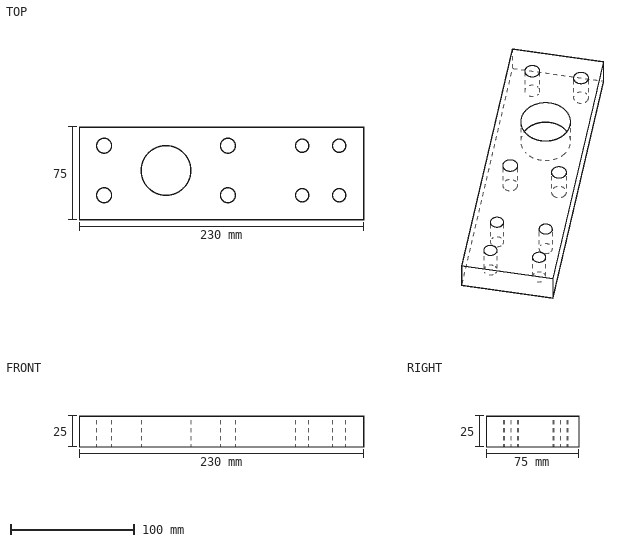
import cadquery as cq

length = 230.0
width = 75.0
thickness = 25.0

edge_distance = 20.0
row_spacing = 40.0
row_positions = (edge_distance, edge_distance + row_spacing)

large_hole_diameter = 12.0
large_hole_spacing = 100.0
large_hole_columns = (edge_distance, edge_distance + large_hole_spacing)

small_hole_diameter = 10.5
small_hole_spacing = 30.0
last_column = length - edge_distance
small_hole_columns = (last_column - small_hole_spacing, last_column)

bore_diameter = 40.0
bore_x = edge_distance + large_hole_spacing / 2
bore_y = edge_distance + row_spacing / 2


def through_cylinders(diameter, centers):
    """Cylinders spanning the plate thickness at the given XY centers."""
    return cq.Workplane("XY").pushPoints(centers).circle(diameter / 2).extrude(thickness)


def hole_grid(columns):
    """Hole centers where the given columns cross both rows."""
    return [(x, y) for x in columns for y in row_positions]


plate = cq.Workplane("XY").box(length, width, thickness, centered=False)
large_holes = through_cylinders(large_hole_diameter, hole_grid(large_hole_columns))
small_holes = through_cylinders(small_hole_diameter, hole_grid(small_hole_columns))
bore = through_cylinders(bore_diameter, [(bore_x, bore_y)])

result = plate.cut(large_holes).cut(small_holes).cut(bore)